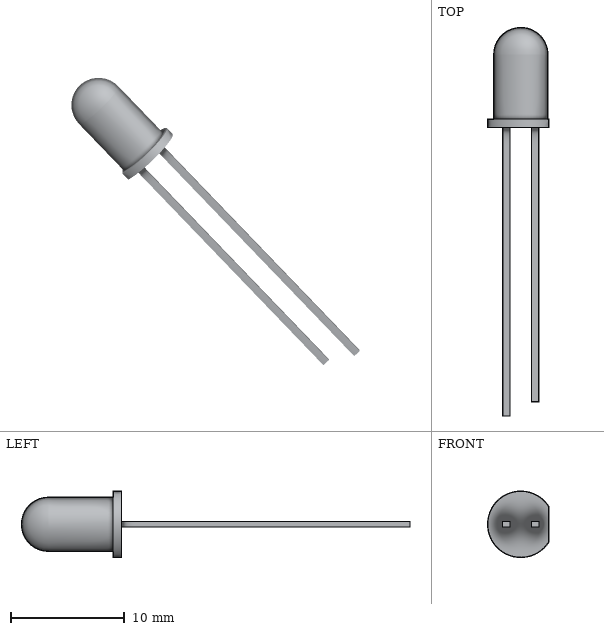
import cadquery as cq

overall_length = 34.2
body_radius = 2.4
flange_diameter = 5.85
flange_radius = flange_diameter / 2
flange_width = 5.4
flange_thickness = 0.75
lamp_length = 8.83

lead_pitch = 2.53
lead_width = 0.65
lead_height = 0.5
long_lead = overall_length - lamp_length
lead_difference = 1.25
short_lead = long_lead - lead_difference


def make_body():
    """Cylinder closed by a hemispherical dome, revolved about Y."""
    dome_start = lamp_length - body_radius
    return (
        cq.Workplane("XY")
        .lineTo(body_radius, 0)
        .lineTo(body_radius, dome_start)
        .radiusArc((0, lamp_length), -body_radius)
        .close()
        .revolve(360, (0, 0, 0), (0, 1, 0))
    )


def make_flange():
    """Round rim with one flat on the +X side."""
    rim = cq.Workplane("XZ").circle(flange_radius).extrude(-flange_thickness)
    keep = cq.Workplane("XY").box(
        flange_width, flange_thickness, flange_diameter, centered=(False, False, True)
    ).translate((-flange_radius, 0, 0))
    return rim.intersect(keep)


def make_lead(x, length):
    """Rectangular lead starting at the flange face."""
    return cq.Workplane("XZ").center(x, 0).rect(lead_width, lead_height).extrude(length)


result = make_body().union(make_flange())
for x, length in ((-lead_pitch / 2, long_lead), (lead_pitch / 2, short_lead)):
    result = result.union(make_lead(x, length))